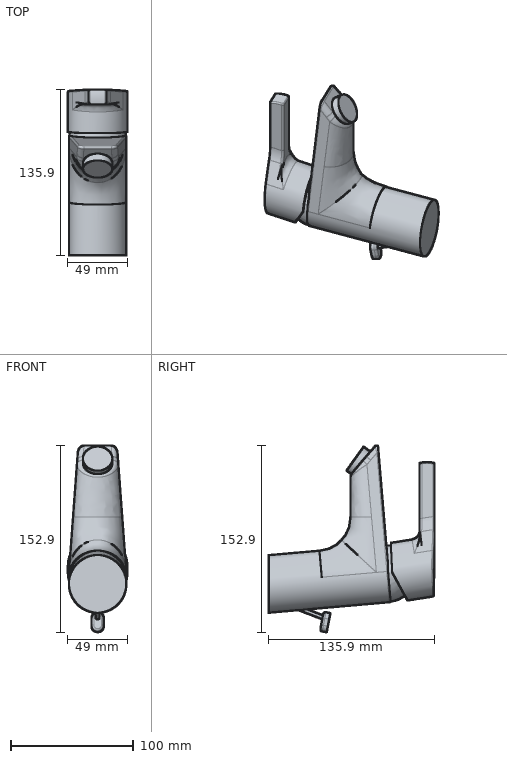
import cadquery as cq
import math


BODY_LEAN = 5.0
TUBE_RADIUS = 23.6
BACK_FACE_Y = 98.7
BACK_FACE_LEAN = 0.2
BACK_EDGE_FILLET = 1.5

SIDE_TAPER = 4.2
FLAT_FRONT_Y = 88.7
THROAT_RADIUS = 27.7
THROAT_CENTER_Y = 43.8
THROAT_STEPS = 3
NECK_HEIGHT = 68.0

OUTLET_TOP = (87.4, 113.2)
OUTLET_SLOPE = 49.4
OUTLET_FILLET = 5.0
AERATOR_RADIUS = 12.1
AERATOR_FACE = (70.7, 102.6)
AERATOR_RISE = 35.5
AERATOR_LENGTH = 14.0

BALL_RADIUS = 23.2
BALL_CENTER_Y = 97.5

LEVER_TILT = 9.0
LEVER_RADIUS = 24.48
LEVER_BACK_Y = 135.9
LEVER_TOP_Z = 99.9
LEVER_BACK_BOW = 230.0
BACK_BEND_Z = 16.0
BACK_BEND_LEAN = 1.6
LEVER_EDGE_FILLET = 1.2
CAP_FRONT = (100.0, 34.0)
CAP_FRONT_LEAN = 2.6
CAP_KNEE_Z = 9.5
CAP_SLANT = 28.5
STEM_WIDTH = 14.6
STEM_DEPTH = 12.4
FLARE_ANGLE = 58.0
FLARE_FILLET = 20.0
STEM_ROOT_FILLET = 7.2
STEM_FRONT_FILLET = 2.0
STEM_CROWN = 0.8
RIM_DEPTH = 2.0
RING_OVERLAP = 2.0

ROD_RADIUS = 1.7
ROD_RISE = 21.0
ROD_LENGTH = 32.0
ROD_START = (46.3, -28.1)
BEAD_CENTER = (46.3, -31.2)
BEAD_LENGTH = 16.2
BEAD_WIDTH = 10.3
BEAD_THICKNESS = 5.8
BEAD_TILT = 11.0
BEAD_FRONT_FILLET = 2.0
BEAD_BACK_FILLET = 0.8

TRIM_REACH = 60.0
SELECT_MARGIN = 1.0


def sin(angle):
    return math.sin(math.radians(angle))


def cos(angle):
    return math.cos(math.radians(angle))


def tan(angle):
    return math.tan(math.radians(angle))


def lean_back(shape):
    """Move a shape from the body frame to its final place."""
    return shape.rotate((0, 0, 0), (1, 0, 0), BODY_LEAN)


def side_prism(points, width):
    """Closed Y-Z outline made into a prism, centred on X = 0."""
    return cq.Workplane("YZ").polyline(points).close().extrude(width / 2, both=True)


def cylinder_along(start, direction, radius, length):
    return cq.Workplane(cq.Solid.makeCylinder(radius, length, cq.Vector(*start), cq.Vector(*direction)))


def find_face(shape, normal):
    """The flat face of a shape that has the given normal."""
    direction = cq.Vector(*normal)
    flat_faces = shape.faces("%PLANE").vals()
    return min(flat_faces, key=lambda face: (face.normalAt() - direction).Length)


flat_base_z = TUBE_RADIUS * sin(SIDE_TAPER)
throat_center_z = TUBE_RADIUS + THROAT_RADIUS


def half_width(z):
    """Half width of the tapered sides at a height above the body axis."""
    return (TUBE_RADIUS - z * sin(SIDE_TAPER)) / cos(SIDE_TAPER)


def nose_section(y, z, dip, depth):
    """Half ellipse reaching forward from (y, z); dip is how far its plane turns down."""
    width = half_width(max(z, flat_base_z))
    plane = cq.Plane(origin=(0, y, z), xDir=(1, 0, 0), normal=(0, -sin(dip), -cos(dip)))
    return cq.Workplane(plane).ellipseArc(width, depth, 0, 180, startAtCurrent=False).close().val()


def throat_section(dip):
    """Section through the throat's centre line, from the throat to the flat sides."""
    reach_back = (FLAT_FRONT_Y - THROAT_CENTER_Y) / cos(dip)
    reach_down = (throat_center_z - flat_base_z) / sin(dip)
    reach = min(reach_back, reach_down)
    y = THROAT_CENTER_Y + reach * cos(dip)
    z = throat_center_z - reach * sin(dip)
    return nose_section(y, z, dip, reach - THROAT_RADIUS)


def make_throat_part(first_dip, last_dip):
    step = (last_dip - first_dip) / THROAT_STEPS
    sections = [throat_section(first_dip + step * index) for index in range(THROAT_STEPS + 1)]
    return cq.Workplane(cq.Solid.makeLoft(sections))


def make_throat():
    rise = throat_center_z - flat_base_z
    corner_dip = math.degrees(math.atan2(rise, FLAT_FRONT_Y - THROAT_CENTER_Y))
    return make_throat_part(BODY_LEAN, corner_dip).union(make_throat_part(corner_dip, 90))


def make_nose():
    """Straight front of the spout; its foremost line is vertical once the body leans back."""
    reach = (FLAT_FRONT_Y - THROAT_CENTER_Y) / cos(BODY_LEAN)
    base_z = throat_center_z - reach * sin(BODY_LEAN)
    base_depth = reach - THROAT_RADIUS
    top_depth = base_depth - NECK_HEIGHT * sin(BODY_LEAN)
    base = nose_section(FLAT_FRONT_Y, base_z, BODY_LEAN, base_depth)
    top = nose_section(FLAT_FRONT_Y, base_z + NECK_HEIGHT, BODY_LEAN, top_depth)
    return cq.Workplane(cq.Solid.makeLoft([base, top], True))


def make_spout_back():
    """Slab with tapered sides behind the nose, long enough to be trimmed."""
    top_z = throat_center_z + NECK_HEIGHT
    outline = [
        (-half_width(flat_base_z), flat_base_z),
        (half_width(flat_base_z), flat_base_z),
        (half_width(top_z), top_z),
        (-half_width(top_z), top_z),
    ]
    slab = cq.Workplane("XZ", origin=(0, FLAT_FRONT_Y, 0)).polyline(outline).close()
    return slab.extrude(FLAT_FRONT_Y - BACK_FACE_Y - TUBE_RADIUS)


def back_face_y(z):
    return BACK_FACE_Y + (z + TUBE_RADIUS) * tan(BACK_FACE_LEAN)


def make_back_trim():
    """Everything behind the slightly leaning back face."""
    low_z = -TRIM_REACH
    high_z = throat_center_z + NECK_HEIGHT + TRIM_REACH
    far_y = BACK_FACE_Y + TRIM_REACH
    outline = [(back_face_y(low_z), low_z), (far_y, low_z), (far_y, high_z), (back_face_y(high_z), high_z)]
    return side_prism(outline, 2 * TRIM_REACH)


def make_outlet_trim():
    """Everything above the sloping outlet face."""
    y, z = OUTLET_TOP
    run = TRIM_REACH * cos(OUTLET_SLOPE)
    drop = TRIM_REACH * sin(OUTLET_SLOPE)
    return side_prism([(y - run, z - drop), (y + run, z + drop), (y - run, z + drop)], 2 * TRIM_REACH)


def make_body():
    start_y = -TUBE_RADIUS
    tube = cylinder_along((0, start_y, 0), (0, 1, 0), TUBE_RADIUS, BACK_FACE_Y + 2 * TUBE_RADIUS)
    body = tube.union(make_spout_back()).union(make_nose()).union(make_throat())
    body = lean_back(body.cut(make_back_trim())).cut(make_outlet_trim())
    front = cq.Workplane("XZ").rect(2 * TRIM_REACH, 2 * TRIM_REACH).extrude(TRIM_REACH)
    return body.cut(front)


def make_aerator():
    y, z = AERATOR_FACE
    axis = (0, cos(AERATOR_RISE), -sin(AERATOR_RISE))
    return cylinder_along((0, y, z), axis, AERATOR_RADIUS, AERATOR_LENGTH)


def round_spout(body):
    outlet_normal = (0, -sin(OUTLET_SLOPE), cos(OUTLET_SLOPE))
    outlet = find_face(body, outlet_normal)
    front_edges = [edge for edge in outlet.Edges() if edge.Center().y < OUTLET_TOP[0]]
    body = body.newObject(front_edges).fillet(OUTLET_FILLET)
    back_lean = BODY_LEAN - BACK_FACE_LEAN
    back = find_face(body, (0, cos(back_lean), sin(back_lean)))
    upper_edges = [edge for edge in back.Edges() if edge.Center().z > TUBE_RADIUS]
    return body.newObject(upper_edges).fillet(BACK_EDGE_FILLET)


def make_ball():
    ball = cq.Workplane("XY").sphere(BALL_RADIUS).translate((0, BALL_CENTER_Y, 0))
    return lean_back(ball)


ball_y = BALL_CENTER_Y * cos(BODY_LEAN)
ball_z = BALL_CENTER_Y * sin(BODY_LEAN)
stem_front_y = LEVER_BACK_Y - STEM_DEPTH


def make_lever_trim():
    """Side outline of the lever: slanted cap front and back leaning in at the bottom."""
    front_y, front_z = CAP_FRONT
    knee_y = front_y + (front_z - CAP_KNEE_Z) * tan(CAP_FRONT_LEAN)
    low_z = CAP_KNEE_Z - TRIM_REACH
    corner_z = LEVER_TOP_Z - STEM_CROWN
    outline = cq.Workplane("YZ").moveTo(front_y, front_z).lineTo(knee_y, CAP_KNEE_Z)
    outline = outline.lineTo(knee_y + TRIM_REACH * tan(CAP_SLANT), low_z)
    outline = outline.lineTo(LEVER_BACK_Y - (BACK_BEND_Z - low_z) * tan(BACK_BEND_LEAN), low_z)
    outline = outline.lineTo(LEVER_BACK_Y, BACK_BEND_Z).lineTo(LEVER_BACK_Y, corner_z)
    outline = outline.threePointArc((LEVER_BACK_Y - STEM_DEPTH / 2, LEVER_TOP_Z), (stem_front_y, corner_z))
    outline = outline.lineTo(front_y, corner_z).close()
    return outline.extrude(TRIM_REACH, both=True)


def make_back_bow():
    """Upright cylinder whose rear surface is the bowed back of the lever."""
    bow = cq.Workplane("XY", origin=(0, LEVER_BACK_Y - LEVER_BACK_BOW, -TRIM_REACH))
    return bow.circle(LEVER_BACK_BOW).extrude(LEVER_TOP_Z + 2 * TRIM_REACH)


def make_cap():
    axis = (0, cos(LEVER_TILT), sin(LEVER_TILT))
    return cylinder_along((0, ball_y, ball_z), axis, LEVER_RADIUS, TRIM_REACH)


def tilt_lever(shape):
    """Move a shape built along +Y from the ball's centre onto the lever's axis."""
    return shape.rotate((0, 0, 0), (1, 0, 0), LEVER_TILT).translate((0, ball_y, ball_z))


def make_flare():
    """Prism along the cap's axis whose sides flare out until they touch the cap."""
    touch_x = LEVER_RADIUS * sin(FLARE_ANGLE)
    touch_z = LEVER_RADIUS * cos(FLARE_ANGLE)
    half = STEM_WIDTH / 2
    bend_z = touch_z + (touch_x - half) * tan(FLARE_ANGLE)
    outline = [
        (-half, LEVER_TOP_Z),
        (half, LEVER_TOP_Z),
        (half, bend_z),
        (touch_x, touch_z),
        (-touch_x, touch_z),
        (-half, bend_z),
    ]
    flare = cq.Workplane("XZ").polyline(outline).close().extrude(-TRIM_REACH)
    bends = cq.selectors.BoxSelector(
        (-touch_x, 0, bend_z - SELECT_MARGIN),
        (touch_x, TRIM_REACH, bend_z + SELECT_MARGIN),
    )
    return tilt_lever(flare.edges(bends).fillet(FLARE_FILLET))


def make_stem():
    """Flare cut off by the stem's vertical front, with that front's edges rounded."""
    front = cq.Workplane("XZ", origin=(0, stem_front_y, 0)).rect(2 * TRIM_REACH, 4 * TRIM_REACH)
    stem = make_flare().cut(front.extrude(TRIM_REACH))
    front_sides = [edge for edge in stem.faces("<Y").edges().vals() if abs(edge.Center().x) > SELECT_MARGIN]
    return stem.newObject(front_sides).fillet(STEM_FRONT_FILLET)


def make_stem_root():
    """Concave ring around the cap that blends the stem's front into it."""
    half_angle = (90 + LEVER_TILT) / 2
    tangent = STEM_ROOT_FILLET / tan(half_angle)
    corner_y = (stem_front_y - ball_y) / cos(LEVER_TILT) + LEVER_RADIUS * tan(LEVER_TILT)
    center = cq.Vector(corner_y - tangent, LEVER_RADIUS + STEM_ROOT_FILLET)
    corner = cq.Vector(corner_y, LEVER_RADIUS)
    middle = center + (corner - center).normalized() * STEM_ROOT_FILLET
    end = corner + cq.Vector(sin(LEVER_TILT), cos(LEVER_TILT)) * tangent
    inner_z = LEVER_RADIUS - RING_OVERLAP
    profile = cq.Workplane("YZ").moveTo(center.x, LEVER_RADIUS)
    profile = profile.threePointArc((middle.x, middle.y), (end.x, end.y))
    profile = profile.lineTo(end.x, inner_z).lineTo(center.x, inner_z).close()
    ring = profile.revolve(360, (0, 0), (1, 0))
    return tilt_lever(ring).intersect(make_flare())


def make_lever():
    lever = make_cap().union(make_stem()).union(make_stem_root())
    lever = lever.intersect(make_lever_trim().intersect(make_back_bow()), clean=False)
    rim_front = LEVER_BACK_Y - RIM_DEPTH
    top_corner_z = LEVER_TOP_Z - 2 * STEM_CROWN
    edges = [
        edge
        for edge in lever.edges().vals()
        if edge.BoundingBox().ymin > rim_front or edge.BoundingBox().zmin > top_corner_z
    ]
    return lever.newObject(edges).fillet(LEVER_EDGE_FILLET)


def make_pull_rod():
    y, z = BEAD_CENTER
    rod = cylinder_along((0, *ROD_START), (0, -cos(ROD_RISE), sin(ROD_RISE)), ROD_RADIUS, ROD_LENGTH)
    bead = cq.Workplane("XZ").slot2D(BEAD_LENGTH, BEAD_WIDTH, 90).extrude(BEAD_THICKNESS / 2, both=True)
    bead = bead.faces("<Y").edges().fillet(BEAD_FRONT_FILLET)
    bead = bead.faces(">Y").edges().fillet(BEAD_BACK_FILLET)
    bead = bead.rotate((0, 0, 0), (1, 0, 0), -BEAD_TILT).translate((0, y, z))
    return bead.union(rod)


result = round_spout(make_body()).union(make_aerator()).union(make_ball())
result = result.union(make_lever(), clean=False).union(make_pull_rod(), clean=False)